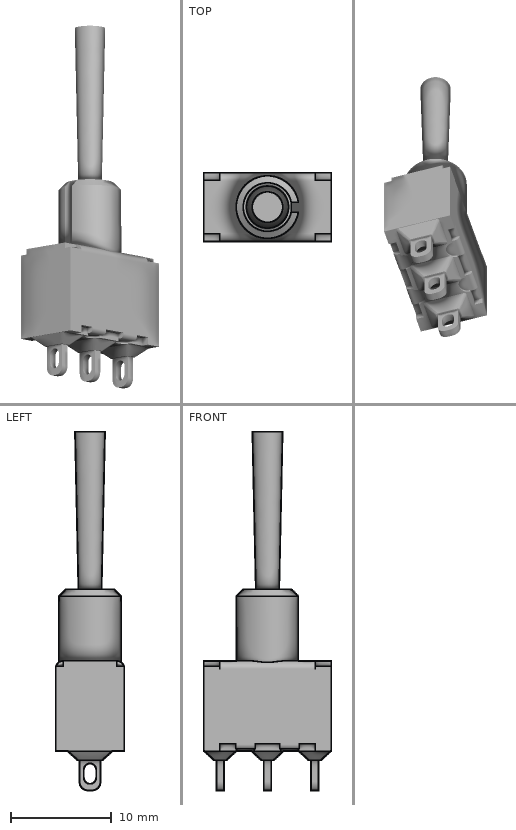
import cadquery as cq

HOUSING_LENGTH = 12.7
HOUSING_WIDTH = 6.86
HOUSING_HEIGHT = 8.97

BEAD_LENGTH = 9.5
BEAD_RADIUS = 0.77
RECESS_HEIGHT = 0.75
LEDGE_DEPTH = 0.55
TAB_LENGTH = 1.93
TAB_SPACING = 4.4
TAB_RADIUS = 0.43
TAB_BOTTOM_OFFSET = 0.22
NOTCH_DIAMETER = 1.75

BUSHING_DIAMETER = 6.22
BUSHING_HEIGHT = 7.13
BUSHING_CHAMFER = 0.7
BORE_DIAMETER = 4.2
KEYWAY_WIDTH = 1.0
KEYWAY_FLOOR_X = 2.35

LEVER_TIP_DIAMETER = 3.03
LEVER_NECK_DIAMETER = 2.35
LEVER_EXPOSED = 15.67
BALL_DEPTH = 2.5

TERMINAL_COUNT = 3
TERMINAL_PITCH = 4.7
TERMINAL_THICKNESS = 0.76
TERMINAL_WIDTH = 2.1
TERMINAL_LENGTH = 3.0
TERMINAL_CORNER_RADIUS = 0.85
EYELET_WIDTH = 1.2
EYELET_LENGTH = 2.0
EYELET_TIP_MARGIN = 0.68
BASE_HEIGHT = 0.92
BASE_FLARE = 1.0
BASE_BOTTOM_LENGTH = 1.2
BASE_BOTTOM_WIDTH = 2.45
BASE_CORNER_RADIUS = 0.35

HALF_LENGTH = HOUSING_LENGTH / 2
HALF_WIDTH = HOUSING_WIDTH / 2
RECESS_BACK = HALF_WIDTH - BEAD_RADIUS
BOTTOM_Z = -HOUSING_HEIGHT
BASE_TOP_LENGTH = BASE_BOTTOM_LENGTH + 2 * BASE_FLARE
BASE_TOP_WIDTH = BASE_BOTTOM_WIDTH + 2 * BASE_FLARE
TERMINAL_TOP_Z = BOTTOM_Z - BASE_HEIGHT
TERMINAL_TIP_Z = TERMINAL_TOP_Z - TERMINAL_LENGTH
LEVER_TIP_Z = BUSHING_HEIGHT + LEVER_EXPOSED
BALL_CENTER_Z = BUSHING_HEIGHT - BALL_DEPTH
BALL_RADIUS = BORE_DIAMETER / 2


def make_bead(side):
    """Quarter-round bead along the top edge of one long side."""
    bead_axis_z = -BEAD_RADIUS
    return (
        cq.Workplane("YZ")
        .moveTo(side * RECESS_BACK, bead_axis_z)
        .lineTo(side * HALF_WIDTH, bead_axis_z)
        .radiusArc((side * RECESS_BACK, 0), -side * BEAD_RADIUS)
        .close()
        .extrude(BEAD_LENGTH / 2, both=True)
    )


def make_tab(x, side):
    """Tab flush with one long side, hanging in the bottom recess, with a rounded lower edge."""
    recess_top_z = BOTTOM_Z + RECESS_HEIGHT
    tab_bottom_z = BOTTOM_Z + TAB_BOTTOM_OFFSET
    return (
        cq.Workplane("YZ")
        .moveTo(side * RECESS_BACK, recess_top_z)
        .lineTo(side * HALF_WIDTH, recess_top_z)
        .lineTo(side * HALF_WIDTH, tab_bottom_z + TAB_RADIUS)
        .radiusArc((side * (HALF_WIDTH - TAB_RADIUS), tab_bottom_z), side * TAB_RADIUS)
        .lineTo(side * RECESS_BACK, tab_bottom_z)
        .close()
        .extrude(TAB_LENGTH / 2, both=True)
        .translate((x, 0, 0))
    )


def make_notch(x, side):
    """Cutter for the half-round notch below a tab, centered on the back wall of the recess."""
    return (
        cq.Workplane("XY", origin=(x, side * RECESS_BACK, BOTTOM_Z))
        .circle(NOTCH_DIAMETER / 2)
        .extrude(TAB_BOTTOM_OFFSET)
    )


def make_block():
    """Housing block with beads between corner ledges, and tabs in the bottom recesses."""
    block = cq.Workplane("XY").box(
        HOUSING_LENGTH, HOUSING_WIDTH, HOUSING_HEIGHT, centered=(True, True, False)
    ).translate((0, 0, BOTTOM_Z))

    ledge_length = (HOUSING_LENGTH - BEAD_LENGTH) / 2
    ledge = cq.Workplane("XY").box(ledge_length, BEAD_RADIUS, LEDGE_DEPTH)
    bead_space = cq.Workplane("XY").box(BEAD_LENGTH, BEAD_RADIUS, BEAD_RADIUS)
    recess = cq.Workplane("XY").box(BEAD_LENGTH, BEAD_RADIUS, RECESS_HEIGHT)
    for side in (-1, 1):
        edge_y = side * (HALF_WIDTH - BEAD_RADIUS / 2)
        for end in (-1, 1):
            ledge_x = end * (HALF_LENGTH - ledge_length / 2)
            block = block.cut(ledge.translate((ledge_x, edge_y, -LEDGE_DEPTH / 2)))
        block = block.cut(bead_space.translate((0, edge_y, -BEAD_RADIUS / 2)))
        block = block.union(make_bead(side))
        block = block.cut(recess.translate((0, edge_y, BOTTOM_Z + RECESS_HEIGHT / 2)))
        for tab_x in (-TAB_SPACING / 2, TAB_SPACING / 2):
            block = block.union(make_tab(tab_x, side))
            block = block.cut(make_notch(tab_x, side))
    return block


def make_bushing():
    """Chamfered cylinder with a keyway along its +X side."""
    bushing = (
        cq.Workplane("XY", origin=(0, 0, -BEAD_RADIUS))
        .circle(BUSHING_DIAMETER / 2)
        .extrude(BUSHING_HEIGHT + BEAD_RADIUS)
        .faces(">Z")
        .chamfer(BUSHING_CHAMFER)
    )
    keyway = cq.Workplane("XY").box(
        BUSHING_DIAMETER, KEYWAY_WIDTH, BUSHING_HEIGHT, centered=(False, True, False)
    ).translate((KEYWAY_FLOOR_X, 0, 0))
    return bushing.cut(keyway)


def make_bore():
    """Bore for the lever, ending in a hemispherical seat for the ball."""
    bore = (
        cq.Workplane("XY", origin=(0, 0, BALL_CENTER_Z))
        .circle(BALL_RADIUS)
        .extrude(BALL_DEPTH)
    )
    seat = cq.Workplane("XY").sphere(BALL_RADIUS).translate((0, 0, BALL_CENTER_Z))
    return bore.union(seat)


def make_terminal(x):
    """Tapered base with a rounded solder lug that has an elongated eyelet."""
    base = (
        cq.Workplane("XY", origin=(0, 0, BOTTOM_Z))
        .rect(BASE_TOP_LENGTH, BASE_TOP_WIDTH)
        .workplane(offset=-BASE_HEIGHT)
        .rect(BASE_BOTTOM_LENGTH, BASE_BOTTOM_WIDTH)
        .loft(ruled=True)
        .edges("not(#Z)")
        .fillet(BASE_CORNER_RADIUS)
    )
    lug = (
        cq.Workplane("XY")
        .box(TERMINAL_THICKNESS, TERMINAL_WIDTH, TERMINAL_LENGTH, centered=(True, True, False))
        .translate((0, 0, TERMINAL_TIP_Z))
        .edges("|X and <Z")
        .fillet(TERMINAL_CORNER_RADIUS)
    )
    eyelet_z = TERMINAL_TIP_Z + EYELET_TIP_MARGIN + EYELET_LENGTH / 2
    eyelet = (
        cq.Workplane("YZ")
        .center(0, eyelet_z)
        .slot2D(EYELET_LENGTH, EYELET_WIDTH, 90)
        .extrude(TERMINAL_THICKNESS, both=True)
    )
    return base.union(lug.cut(eyelet)).translate((x, 0, 0))


def make_housing():
    """Block, bushing and terminals as one body."""
    housing = make_block().union(make_bushing())
    for index in range(TERMINAL_COUNT):
        terminal_x = (index - (TERMINAL_COUNT - 1) / 2) * TERMINAL_PITCH
        housing = housing.union(make_terminal(terminal_x))
    return housing.cut(make_bore())


def make_lever():
    """Tapered handle that grows out of the ball pivot."""
    taper = (LEVER_TIP_DIAMETER - LEVER_NECK_DIAMETER) / LEVER_EXPOSED
    root_radius = (LEVER_NECK_DIAMETER - taper * BALL_DEPTH) / 2
    handle = (
        cq.Workplane("XZ")
        .moveTo(0, BALL_CENTER_Z)
        .lineTo(root_radius, BALL_CENTER_Z)
        .lineTo(LEVER_TIP_DIAMETER / 2, LEVER_TIP_Z)
        .lineTo(0, LEVER_TIP_Z)
        .close()
        .revolve(360, (0, 0, 0), (0, 1, 0))
    )
    ball = cq.Workplane("XY").sphere(BALL_RADIUS).translate((0, 0, BALL_CENTER_Z))
    return handle.union(ball)


housing = make_housing()
lever = make_lever()
result = cq.Compound.makeCompound([housing.val(), lever.val()])